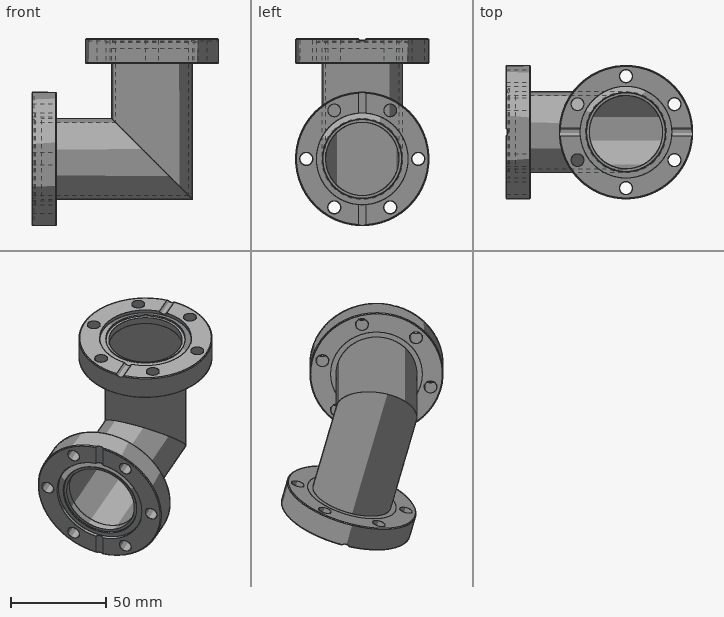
import cadquery as cq


longest_side = 98.0
flange_diameter = 70.0
flange_thickness = 13.0
port_length = longest_side - flange_diameter / 2

tube_diameter = 42.4
bore_diameter = 38.4

ring_bore_diameter = 48.1
edge_chamfer = 0.5
bolt_count = 6
bolt_hole_diameter = 6.7
bolt_circle_diameter = 58.7
groove_radius = 2.45
groove_depth = 1.2

knife_diameter = 41.7
knife_depth = 0.7
rim_depth = 1.9
seat_diameter = 41.3
seat_depth = 1.4
tube_end_depth = 5.2


def make_flange_ring():
    """Outer ring with bolt holes and two radial leak-check grooves."""
    ring = (
        cq.Workplane("XY")
        .workplane(offset=port_length - flange_thickness)
        .circle(flange_diameter / 2)
        .extrude(flange_thickness)
        .edges()
        .chamfer(edge_chamfer)
    )
    bore = (
        cq.Workplane("XY")
        .circle(ring_bore_diameter / 2)
        .extrude(port_length)
    )
    bolt_holes = (
        cq.Workplane("XY")
        .polarArray(bolt_circle_diameter / 2, 90, 360, bolt_count)
        .circle(bolt_hole_diameter / 2)
        .extrude(port_length)
    )
    groove = (
        cq.Workplane("YZ")
        .center(0, port_length - groove_depth + groove_radius)
        .circle(groove_radius)
        .extrude(flange_diameter / 2, both=True)
    )
    return ring.cut(bore).cut(bolt_holes).cut(groove)


def make_insert():
    """Knife-edge insert that fills the ring bore and holds the tube end."""
    back = port_length - flange_thickness
    tube_end = port_length - tube_end_depth
    profile = [
        (tube_diameter / 2, back),
        (ring_bore_diameter / 2, back),
        (ring_bore_diameter / 2, port_length - rim_depth),
        (knife_diameter / 2, port_length - knife_depth),
        (seat_diameter / 2, port_length - seat_depth),
        (bore_diameter / 2, port_length - seat_depth),
        (bore_diameter / 2, tube_end),
        (tube_diameter / 2, tube_end),
    ]
    return cq.Workplane("XZ").polyline(profile).close().revolve(360, (0, 0), (0, 1))


def make_tube():
    """Vertical tube, mitred at 45 degrees through the origin."""
    tube_end = port_length - tube_end_depth
    tube = (
        cq.Workplane("XY")
        .workplane(offset=-tube_diameter / 2)
        .circle(tube_diameter / 2)
        .circle(bore_diameter / 2)
        .extrude(tube_end + tube_diameter / 2)
    )
    below_mitre = (
        cq.Workplane("XZ")
        .polyline([
            (-tube_diameter, tube_diameter),
            (tube_diameter, -tube_diameter),
            (-tube_diameter, -tube_diameter),
        ])
        .close()
        .extrude(tube_diameter, both=True)
    )
    return tube.cut(below_mitre)


bodies = []
for mitre_turn in (0, 180):
    for make_body in (make_flange_ring, make_insert, make_tube):
        body = make_body().rotate((0, 0, 0), (1, 0, -1), mitre_turn)
        bodies.append(body.val())

result = cq.Compound.makeCompound(bodies)